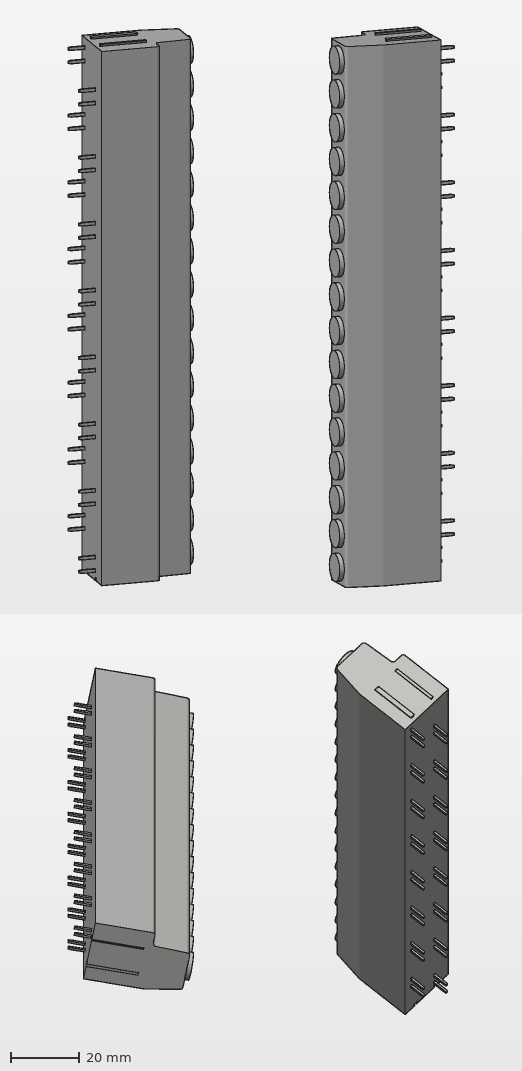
import cadquery as cq


pole_count = 16
overall_length = 163.3
rib_height = 0.7
body_length = overall_length - rib_height
pole_pitch = body_length / pole_count

overall_height = 35.8
pin_length = 5.0
head_height = 1.5
body_height = overall_height - pin_length - head_height
body_width = 18.8
slope_start_y = 18.1
top_left_x = 2.0
top_right_x = 14.0
step_x = 14.5
step_y = 18.0
top_round = 1.0
step_outer_round = 0.8
step_inner_round = 1.0

head_diameter = 8.3
head_x = 7.3

pin_width = 0.7
pin_thickness = 1.0
pin_spacing = 4.1
left_row_x = 2.6
row_distance = 10.0
pin_row_x = (left_row_x + row_distance, left_row_x)
pin_tip_length = 1.0
pin_tip_thickness = 0.7

groove_depth = 0.8
rib_start_y = 1.3
rib_end_y = 15.5
rib_sections = ((4.5, 0.8, 1.6), (13.0, 0.5, 1.0))


def make_body():
    profile = (
        cq.Workplane("XY")
        .lineTo(body_width, 0)
        .lineTo(body_width, step_y)
        .lineTo(step_x, step_y)
        .lineTo(top_right_x, body_height)
        .lineTo(top_left_x, body_height)
        .lineTo(0, slope_start_y)
        .close()
    )
    body = profile.extrude(body_length)

    rounded_corners = (
        (top_left_x, body_height, top_round),
        (top_right_x, body_height, top_round),
        (step_x, step_y, step_inner_round),
        (body_width, step_y, step_outer_round),
    )
    for x, y, radius in rounded_corners:
        corner = cq.selectors.NearestToPointSelector((x, y, body_length / 2))
        body = body.edges("|Z").edges(corner).fillet(radius)
    return body


def make_dovetail(section, root_z, height, start_y):
    """Bar running along Y whose section widens upwards from its root."""
    center_x, root_width, crest_width = section
    return (
        cq.Workplane("XZ", origin=(center_x, start_y, root_z))
        .moveTo(-root_width / 2, 0)
        .lineTo(root_width / 2, 0)
        .lineTo(crest_width / 2, height)
        .lineTo(-crest_width / 2, height)
        .close()
        .extrude(start_y - rib_end_y)
    )


def make_screw_head(center_z):
    return (
        cq.Workplane("XZ", origin=(head_x, body_height, center_z))
        .circle(head_diameter / 2)
        .extrude(-head_height)
    )


def make_pin(center_x, center_z):
    """Flat pin whose end is tapered in thickness only."""
    shank_end_y = pin_tip_length - pin_length
    return (
        cq.Workplane("YZ", origin=(center_x, 0, center_z))
        .moveTo(0, pin_thickness / 2)
        .lineTo(shank_end_y, pin_thickness / 2)
        .lineTo(-pin_length, pin_tip_thickness / 2)
        .lineTo(-pin_length, -pin_tip_thickness / 2)
        .lineTo(shank_end_y, -pin_thickness / 2)
        .lineTo(0, -pin_thickness / 2)
        .close()
        .extrude(pin_width / 2, both=True)
    )


result = make_body()

for section in rib_sections:
    rib = make_dovetail(section, body_length, rib_height, rib_start_y)
    groove = make_dovetail(section, 0, groove_depth, 0)
    result = result.union(rib).cut(groove)

for pole in range(pole_count):
    pole_z = (pole + 0.5) * pole_pitch
    result = result.union(make_screw_head(pole_z))
    for side in (-1, 1):
        pin_z = pole_z + side * pin_spacing / 2
        result = result.union(make_pin(pin_row_x[pole % 2], pin_z))